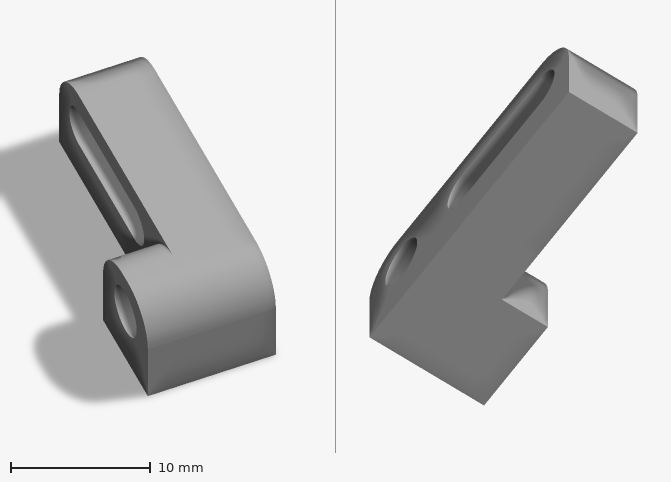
import cadquery as cq

length = 25
height = 8.5
corner_radius = 3.5

bar_depth = 6
boss_depth = 4
total_depth = bar_depth + boss_depth

boss_width = 8
hole_diameter = 4
hole_x = length - boss_width / 2

slot_width = 3.4
slot_center_distance = 10
slot_start_x = corner_radius

axis_z = height - corner_radius


def rounded_block(x_start, width, y_start, depth):
    """Block standing on Z = 0 with its two upper edges along Y rounded."""
    return (
        cq.Workplane("XY")
        .box(width, depth, height, centered=False)
        .edges("|Y and >Z")
        .fillet(corner_radius)
        .translate((x_start, y_start, 0))
    )


def front_plane(center_x):
    """Front plane of the part, centred on a feature; negative extrusion goes into the part."""
    return cq.Workplane("XZ", origin=(center_x, 0, axis_z))


bar = rounded_block(0, length, boss_depth, bar_depth)

boss = rounded_block(length - boss_width, boss_width, 0, total_depth)

hole = front_plane(hole_x).circle(hole_diameter / 2).extrude(-total_depth)

slot = (
    front_plane(slot_start_x + slot_center_distance / 2)
    .slot2D(slot_center_distance + slot_width, slot_width)
    .extrude(-total_depth)
)

result = bar.union(boss).cut(hole).cut(slot)